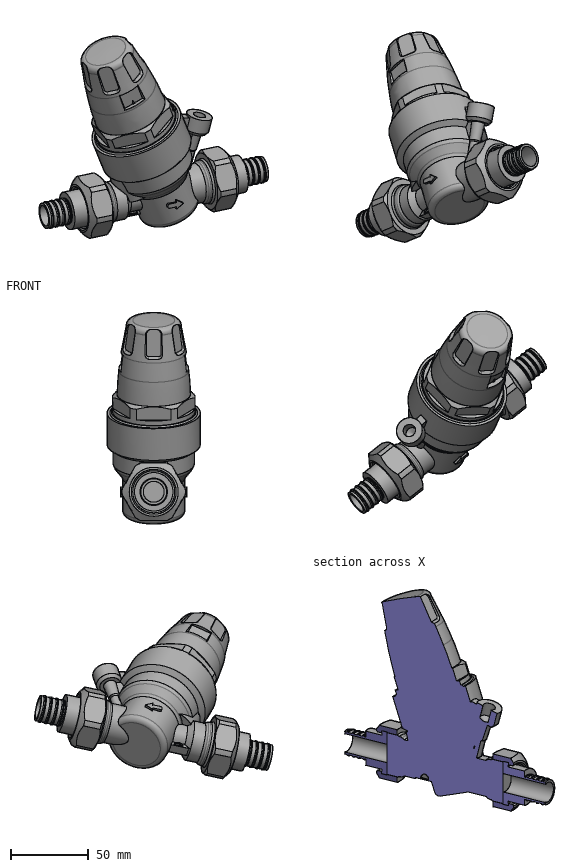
import cadquery as cq
import math

lean = 20.0
axis_y = 6.2
half_length = 77.1

base_bottom = -15.9
base_top = 9.5
flare_bottom = 11.7
flare_top = 17.0
chest_bottom = 19.5
chest_top = 29.8
collar_bottom = 32.4
collar_top = 54.0
hex_bottom = 58.0
hex_top = 67.0
cap_line = 83.0
knob_bottom = 95.6
knob_shoulder = 113.2
knob_top = 117.2

base_radius = 20.0
base_round = 3.7
flare_bottom_radius = 21.1
flare_top_radius = 25.1
chest_radius = 26.2
collar_radius = 60.0 / 2
lip_radius = 28.2
lip_rise = 1.0
bonnet_radius = 53.0 / 2
hex_flat_distance = 24.0
bonnet_chamfer_width = 2.8
bonnet_chamfer_height = 1.9
cap_radius = 23.6
cap_line_radius = 22.5
knob_radius = 21.0
shoulder_radius = 17.7
knob_face_radius = 27.0 / 2
knob_face_rise = 0.3
lower_band_bulge = (23.3, 75.3)
upper_band_bulge = (21.9, 89.5)
knob_edge_bulge = (16.5, 116.3)

grip_count = 6
grip_width = 9.5
grip_length = 17.9
grip_middle = 108.0
grip_floor_radius = 17.1
grip_lean = 8.3
grip_flare = 40.0
grip_clearance = 3.1
grip_top_corner = 3.7
grip_bottom_corner = 1.5
window_width = 13.3
window_bottom = 84.5
window_flare = 2.5
window_reach = 23.9
window_floor = 19.1
pointer_width = 2.2
pointer_height = 2.5
pointer_rise = 0.6

pipe_radius = 25.9 / 2
bead_radius = 28.5 / 2
bead_shoulder_radius = 13.9
thread_radius = 30.0 / 2
bead_start = 31.2
bead_shoulder = 32.7
bead_full = 34.1
bead_end = 35.2
nut_back = 36.7
nut_front = 52.8
spigot_end = 44.7
tail_flange_end = 48.6
tail_collar_end = 61.1

nut_flat_distance = 18.5
nut_corner_radius = 20.4
nut_face_radius = 15.7
nut_front_chamfer = 3.5
nut_back_chamfer = 1.4
nut_hole_radius = 27.0 / 2
nut_hole_chamfer = 1.0

tail_collar_radius = 24.7 / 2
hose_radius = 16.7 / 2
hose_bore_radius = 13.4 / 2
barb_radius = 17.6 / 2
barb_width = 0.8
barb_ramp = 0.8
barb_count = 4
barb_pitch = 4.0
first_barb = 1.5

elbow_offset = 15.1
elbow_radius = 14.8
elbow_taper = 6.0
elbow_bottom = 12.3
inlet_end = -18.2
inlet_end_chamfer = 5.4
inlet_neck_radius = 9.3
web_thickness = 6.2
web_bottom = -11.9
web_pocket_y = -15.7
web_pocket_radius = 3.0
web_pocket_depth = 1.2
web_strip = 1.0

boss_lean = 15.0
boss_face_y = 32.2
boss_face_z = 49.4
boss_radius = 17.0 / 2
boss_length = 9.5
boss_taper_length = 2.2
boss_underside_radius = 6.8
boss_neck_radius = 4.3
boss_neck_end_radius = 3.7
boss_neck_end = 23.6
boss_neck_step = 1.0
boss_foot_radius = 3.1
boss_foot_depth = 41.7
boss_hole_radius = 8.0 / 2
boss_hole_depth = 9.3
boss_web_width = 5.5
boss_web_top = 1.2
boss_web_height = 27.8
boss_web_reach = 12.3
drill_angle = 118.0

arrow_reach = 21.3
arrow_tip_y = 11.4
arrow_head_length = 5.0
arrow_length = 11.1
arrow_head_half = 3.2
arrow_shaft_half = 1.5

lean_rad = math.radians(lean)
valve_frame = cq.Plane(
    origin=(0, axis_y, 0),
    xDir=(1, 0, 0),
    normal=(0, -math.sin(lean_rad), math.cos(lean_rad)),
)
boss_rad = math.radians(boss_lean)
boss_frame = cq.Plane(
    origin=(0, boss_face_y, boss_face_z),
    xDir=(1, 0, 0),
    normal=(0, math.sin(boss_rad), math.cos(boss_rad)),
)


def turned_on_y(profile):
    """Revolve a closed list of (radius, y) points about the Y axis."""
    return cq.Workplane("XY").polyline(profile).close().revolve(360, (0, 0), (0, 1))


def turned_on_z(profile):
    """Revolve a closed list of (radius, z) points about the Z axis."""
    return cq.Workplane("XZ").polyline(profile).close().revolve(360, (0, 0), (0, 1))


def both_ends(solid):
    """The +Y part and its copy turned half round to the -Y end."""
    return [solid.rotate((0, 0, 0), (0, 0, 1), turn) for turn in (0, 180)]


def hex_prism(flat_distance, height):
    """Hexagon on XY with corners on the X axis."""
    corner_diameter = 2 * flat_distance / math.cos(math.pi / 6)
    return cq.Workplane("XY").polygon(6, corner_diameter).extrude(height)


def valve_core():
    """Base, chest and collar with a shallow lip on top."""
    base = (
        cq.Workplane("XY")
        .workplane(offset=base_bottom)
        .circle(base_radius)
        .extrude(chest_top - base_bottom)
        .faces("<Z")
        .edges()
        .fillet(base_round)
    )
    upper_profile = [
        (0, base_top), (base_radius, base_top), (flare_bottom_radius, flare_bottom),
        (flare_top_radius, flare_top), (chest_radius, chest_bottom),
        (chest_radius, chest_top), (collar_radius, collar_bottom),
        (collar_radius, collar_top), (lip_radius, collar_top),
        (lip_radius - lip_rise, collar_top + lip_rise), (0, collar_top + lip_rise),
    ]
    return base.union(turned_on_z(upper_profile))


def bonnet():
    """Round bonnet with six flats and a chamfered top."""
    round_part = turned_on_z([
        (0, collar_top), (bonnet_radius, collar_top),
        (bonnet_radius, hex_top - bonnet_chamfer_height),
        (bonnet_radius - bonnet_chamfer_width, hex_top), (0, hex_top),
    ])
    flats = hex_prism(hex_flat_distance, hex_top - hex_bottom).translate((0, 0, hex_bottom))
    foot = cq.Workplane("XY").circle(bonnet_radius).extrude(hex_bottom)
    return round_part.intersect(flats.union(foot))


def cap():
    """Bulging cap with the conical adjusting knob on top."""
    return (
        cq.Workplane("XZ")
        .moveTo(0, hex_bottom)
        .lineTo(cap_radius, hex_bottom)
        .lineTo(cap_radius, hex_top)
        .threePointArc(lower_band_bulge, (cap_line_radius, cap_line))
        .threePointArc(upper_band_bulge, (knob_radius, knob_bottom))
        .lineTo(shoulder_radius, knob_shoulder)
        .threePointArc(knob_edge_bulge, (knob_face_radius, knob_top))
        .lineTo(0, knob_top + knob_face_rise)
        .close()
        .revolve(360, (0, 0), (0, 1))
    )


def grip_cutters():
    """Finger grips round the knob: flat leaning floors with flared walls and rounded corners."""
    floor_frame = cq.Plane(
        origin=(0, grip_floor_radius, grip_middle),
        xDir=(-1, 0, 0),
        normal=(0, math.cos(math.radians(grip_lean)), math.sin(math.radians(grip_lean))),
    )
    outline = (
        cq.Sketch()
        .rect(grip_width, grip_length)
        .vertices(">Y").fillet(grip_top_corner)
        .reset()
        .vertices("<Y").fillet(grip_bottom_corner)
    )
    cutter = cq.Workplane(floor_frame).placeSketch(outline).extrude(grip_clearance, taper=-grip_flare)
    cutters = cutter
    for index in range(1, grip_count):
        turned = cutter.rotate((0, 0, 0), (0, 0, 1), index * 360 / grip_count)
        cutters = cutters.union(turned)
    return cutters


def windows():
    """Windows on both sides of the cap, open upwards to the knob, with flared jambs."""
    height = knob_bottom - window_bottom
    middle = (knob_bottom + window_bottom) / 2
    side = (
        cq.Workplane("YZ")
        .workplane(offset=window_floor)
        .center(0, middle)
        .rect(window_width, height)
        .workplane(offset=window_reach - window_floor)
        .rect(window_width + 2 * window_flare, height)
        .loft()
    )
    return side.union(side.mirror("YZ"))


def pointers():
    """Small triangular pointer standing on the sill of each window."""
    side = (
        cq.Workplane("YZ")
        .workplane(offset=window_floor - pointer_rise)
        .polyline([
            (-pointer_width / 2, window_bottom - pointer_rise),
            (pointer_width / 2, window_bottom - pointer_rise),
            (0, window_bottom + pointer_height),
        ])
        .close()
        .extrude(2 * pointer_rise)
    )
    return side.union(side.mirror("YZ"))


def inlet_elbow():
    """Elbow that carries the inlet up beside the chest, parallel to the valve axis."""
    return (
        cq.Workplane("XY")
        .workplane(offset=elbow_bottom)
        .center(0, -elbow_offset)
        .circle(elbow_radius)
        .extrude(chest_top - elbow_bottom, taper=elbow_taper)
    )


def leaning_valve():
    knob_and_cap = cap().cut(grip_cutters()).cut(windows()).union(pointers())
    upright = valve_core().union(bonnet()).union(knob_and_cap).union(inlet_elbow())
    return cq.Workplane(upright.val().moved(cq.Location(valve_frame)))


def port(inner_end):
    """Port on +Y: plain pipe, bead and the threaded spigot that the nut screws onto."""
    return turned_on_y([
        (0, inner_end), (pipe_radius, inner_end), (pipe_radius, bead_start),
        (bead_shoulder_radius, bead_shoulder), (bead_radius, bead_full),
        (bead_radius, bead_end), (thread_radius, nut_back),
        (thread_radius, spigot_end), (0, spigot_end),
    ])


def web_pockets():
    """Shallow half-round pocket in each side of the inlet web."""
    floor_x = web_thickness / 2 - web_pocket_depth
    side = (
        cq.Workplane("YZ")
        .workplane(offset=floor_x)
        .moveTo(web_pocket_y - web_pocket_radius, web_bottom + web_strip)
        .threePointArc(
            (web_pocket_y, web_bottom + web_strip + web_pocket_radius),
            (web_pocket_y + web_pocket_radius, web_bottom + web_strip),
        )
        .close()
        .extrude(web_pocket_depth)
    )
    return side.union(side.mirror("YZ"))


def inlet_port():
    """Port on -Y with a chamfered inner end, joined to the base by a thinner neck and a web."""
    pipe = port(-inlet_end).faces("<Y").edges().chamfer(inlet_end_chamfer)
    pipe = pipe.rotate((0, 0, 0), (0, 0, 1), 180)
    neck = cq.Workplane("XZ").circle(inlet_neck_radius).extrude(-inlet_end + inlet_end_chamfer)
    web_end = inlet_end - inlet_end_chamfer
    web = cq.Workplane("XY").box(
        web_thickness, -web_end, -web_bottom, centered=(True, False, False)
    ).translate((0, web_end, web_bottom))
    return pipe.union(neck).union(web).cut(web_pockets())


def gauge_boss():
    """Leaning boss on a stepped neck that runs down into the outlet pipe, with a web to the chest."""
    underside = boss_length + boss_taper_length
    stem = turned_on_z([
        (0, 0), (boss_radius, 0), (boss_radius, -boss_length), (boss_underside_radius, -underside),
        (boss_neck_radius, -underside), (boss_neck_end_radius, -boss_neck_end),
        (boss_foot_radius, -boss_neck_end - boss_neck_step), (boss_foot_radius, -boss_foot_depth),
        (0, -boss_foot_depth),
    ])
    web = cq.Workplane("XY").box(
        boss_web_width, boss_web_reach, boss_web_height, centered=(True, False, False)
    ).translate((0, -boss_web_reach, -boss_web_top - boss_web_height))
    return stem.union(web)


def gauge_hole():
    """Blind drilled hole with a conical bottom."""
    cone_depth = boss_hole_radius / math.tan(math.radians(drill_angle / 2))
    return turned_on_z([
        (0, 0), (boss_hole_radius, 0), (boss_hole_radius, -boss_hole_depth),
        (0, -boss_hole_depth - cone_depth),
    ])


def on_boss_axis(solid):
    return cq.Workplane(solid.val().moved(cq.Location(boss_frame)))


def flow_arrows():
    """Flow arrow with a rounded tail, raised on both sides of the base."""
    neck_y = arrow_tip_y - arrow_head_length
    tail_y = arrow_tip_y - arrow_length
    return (
        cq.Workplane("YZ")
        .moveTo(arrow_tip_y, 0)
        .lineTo(neck_y, arrow_head_half)
        .lineTo(neck_y, arrow_shaft_half)
        .lineTo(tail_y + arrow_shaft_half, arrow_shaft_half)
        .threePointArc((tail_y, 0), (tail_y + arrow_shaft_half, -arrow_shaft_half))
        .lineTo(neck_y, -arrow_shaft_half)
        .lineTo(neck_y, -arrow_head_half)
        .close()
        .extrude(arrow_reach, both=True)
    )


def valve_body():
    body = leaning_valve().union(port(0)).union(inlet_port())
    body = body.union(on_boss_axis(gauge_boss())).cut(on_boss_axis(gauge_hole()))
    return body.union(flow_arrows())


def union_nut():
    """Hexagon nut on +Y: threaded bore from the back and a lip that holds the tail flange."""
    blank = turned_on_y([
        (0, nut_back), (nut_flat_distance, nut_back),
        (nut_corner_radius, nut_back + nut_back_chamfer),
        (nut_corner_radius, nut_front - nut_front_chamfer), (nut_face_radius, nut_front),
        (0, nut_front),
    ])
    prism = hex_prism(nut_flat_distance, nut_front).rotate((0, 0, 0), (1, 0, 0), -90)
    bore = turned_on_y([
        (0, nut_back), (thread_radius, nut_back), (thread_radius, tail_flange_end),
        (nut_hole_radius, tail_flange_end), (nut_hole_radius, nut_front - nut_hole_chamfer),
        (nut_hole_radius + nut_hole_chamfer, nut_front), (0, nut_front),
    ])
    return blank.intersect(prism).cut(bore)


def hose_tail():
    """Barbed tail on +Y, with a flange against the spigot and a bore right through."""
    tail = turned_on_y([
        (0, spigot_end), (thread_radius, spigot_end), (thread_radius, tail_flange_end),
        (tail_collar_radius, tail_flange_end), (tail_collar_radius, tail_collar_end),
        (hose_radius, tail_collar_end), (hose_radius, half_length), (0, half_length),
    ])
    for index in range(barb_count):
        crest_y = half_length - first_barb - index * barb_pitch
        barb = turned_on_y([
            (0, crest_y), (hose_radius, crest_y), (barb_radius, crest_y - barb_ramp),
            (barb_radius, crest_y - barb_ramp - barb_width), (0, crest_y - barb_ramp - barb_width),
        ])
        tail = tail.union(barb)
    bore = cq.Workplane("XZ").circle(hose_bore_radius).extrude(-half_length)
    return tail.cut(bore)


body = valve_body()
nuts = both_ends(union_nut())
tails = both_ends(hose_tail())

result = cq.Compound.makeCompound(
    [body.val(), *[nut.val() for nut in nuts], *[tail.val() for tail in tails]]
)